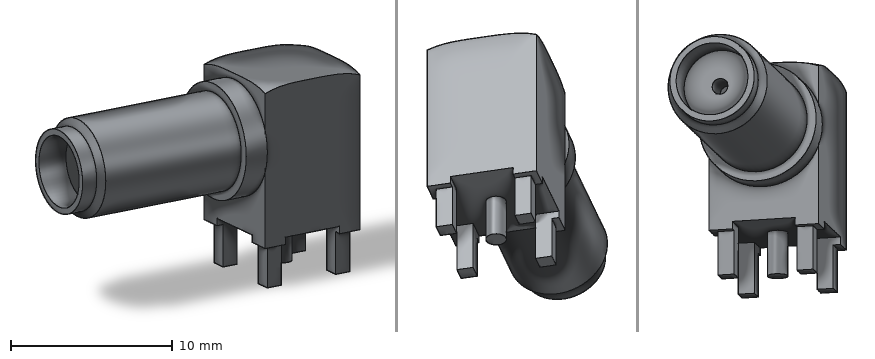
import cadquery as cq
import math

total_length = 19.97
body_width = 7.0
body_height = 10.46
body_top = 4.13
body_bottom = body_top - body_height

top_round_radius = 3.0

flange_diameter = 7.5
flange_length = 1.55
barrel_diameter = 6.35
nose_diameter = 5.4
nose_length = 1.04
shoulder_length = 0.35
bore_diameter = 4.6
bore_depth = 2.0
contact_hole_diameter = 1.0
contact_hole_depth = 2.0

foot_width = 1.5
foot_height = 0.48
leg_width = 1.04
leg_length = 2.78
pin_diameter = 1.28
pin_length = 2.78

body_front = -body_width / 2
mating_end = body_width / 2 - total_length
barrel_start = body_front - flange_length
shoulder_end = mating_end + nose_length
feet_top = body_bottom + foot_height


def cylinder_along_y(diameter, start, end):
    """Cylinder on the coaxial axis running from start toward -Y to end."""
    plane = cq.Workplane("XZ", origin=(0, start, 0))
    return plane.circle(diameter / 2).extrude(start - end)


def hanging_block(width, top, height, x=0, y=0):
    """Square block hanging down from the given top height."""
    plane = cq.Workplane("XY", origin=(x, y, top - height))
    return plane.rect(width, width).extrude(height)


def make_body():
    """Square block whose top corners are rounded off around the vertical axis."""
    block = hanging_block(body_width, body_top, body_top - feet_top)
    top_radius = body_width / 2
    outer_radius = top_radius + top_round_radius
    round_center_height = body_top - top_round_radius
    arc_middle = top_round_radius * math.sqrt(0.5)
    envelope = (
        cq.Workplane("XZ")
        .moveTo(0, feet_top)
        .lineTo(outer_radius, feet_top)
        .lineTo(outer_radius, round_center_height)
        .threePointArc(
            (top_radius + arc_middle, round_center_height + arc_middle),
            (top_radius, body_top),
        )
        .lineTo(0, body_top)
        .close()
        .revolve(360, (0, 0, 0), (0, 1, 0))
    )
    return block.intersect(envelope)


def make_barrel():
    """Flange, barrel, tapered shoulder and nose; rooted at the body centre."""
    flange = cylinder_along_y(flange_diameter, body_front, barrel_start)
    nose = cylinder_along_y(nose_diameter, 0, mating_end)
    shoulder_step = (barrel_diameter - nose_diameter) / 2
    barrel = (
        cylinder_along_y(barrel_diameter, 0, shoulder_end)
        .faces("<Y")
        .chamfer(shoulder_length, shoulder_step)
    )
    return flange.union(barrel).union(nose)


def make_feet_and_legs():
    """A corner foot at each corner, with a leg under its inner corner."""
    foot_offset = (body_width - foot_width) / 2
    leg_offset = body_width / 2 - foot_width + leg_width / 2
    supports = cq.Workplane("XY")
    for x_side in (-1, 1):
        for y_side in (-1, 1):
            foot = hanging_block(
                foot_width, feet_top, foot_height, x_side * foot_offset, y_side * foot_offset
            )
            leg = hanging_block(
                leg_width, feet_top, foot_height + leg_length, x_side * leg_offset, y_side * leg_offset
            )
            supports = supports.add(foot.union(leg))
    return supports.combine()


def make_pin():
    """Round signal pin under the middle of the body."""
    pin_plane = cq.Workplane("XY", origin=(0, 0, feet_top))
    return pin_plane.circle(pin_diameter / 2).extrude(-pin_length)


bore_floor = mating_end + bore_depth
bore = cylinder_along_y(bore_diameter, bore_floor, mating_end)
contact_hole = cylinder_along_y(contact_hole_diameter, bore_floor + contact_hole_depth, bore_floor)

result = make_body().union(make_barrel()).union(make_feet_and_legs()).union(make_pin())
result = result.cut(bore).cut(contact_hole)